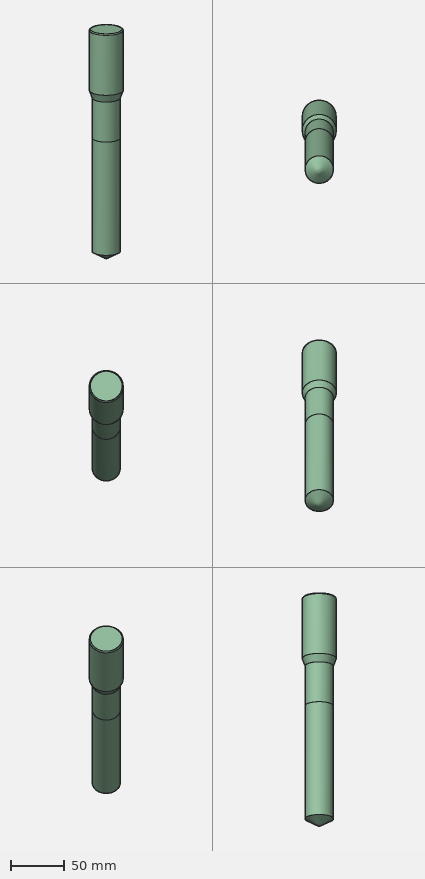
import cadquery as cq
import math

total_length = 225.0

shank_diameter = 32.0
shank_length = 59.8
shank_chamfer = 1.1
taper_length = 7.5

body_diameter = 26.5
cutter_length = 118.5
point_angle = 120.0

body_radius = body_diameter / 2
shank_radius = shank_diameter / 2
point_height = body_radius / math.tan(math.radians(point_angle / 2))
taper_top = total_length - shank_length
taper_bottom = taper_top - taper_length


def revolve_profile(points):
    """Turn a closed (radius, height) outline around the Z axis."""
    return cq.Workplane("XZ").polyline(points).close().revolve(360, (0, 0, 0), (0, 1, 0))


def make_cutter():
    """Plain cylinder with a conical drill point."""
    return revolve_profile([
        (0, 0),
        (body_radius, point_height),
        (body_radius, cutter_length),
        (0, cutter_length),
    ])


def make_shank():
    """Neck, conical taper and chamfered clamping cylinder."""
    return revolve_profile([
        (0, cutter_length),
        (body_radius, cutter_length),
        (body_radius, taper_bottom),
        (shank_radius, taper_top),
        (shank_radius, total_length - shank_chamfer),
        (shank_radius - shank_chamfer, total_length),
        (0, total_length),
    ])


cutter = make_cutter()
shank = make_shank()
result = cq.Compound.makeCompound([cutter.val(), shank.val()])